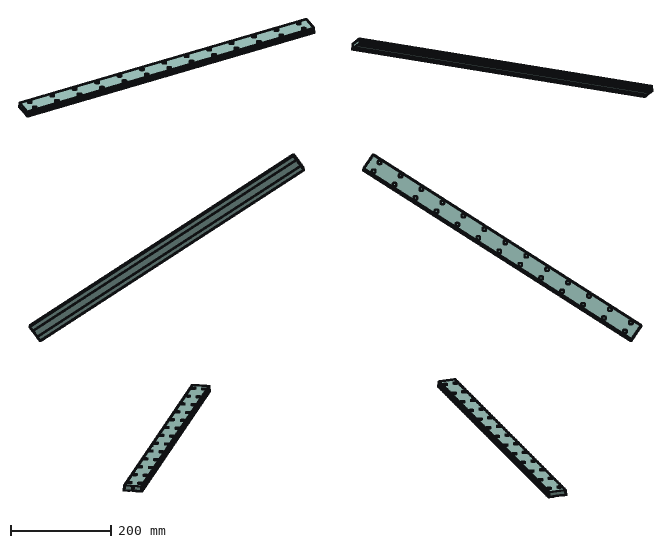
import cadquery as cq

length = 640.0
width = 37.0
height = 11.0

upper_flange_inset = 0.5
top_bevel = 0.95

groove_depth = 2.0
groove_mouth_bottom = 2.5
groove_floor_bottom = 4.8
groove_floor_top = 6.5
groove_mouth_top = 8.0

relief_width = 15.5
relief_depth = 0.5

recess_diameter = 8.0
recess_depth = 0.3
recess_row_spacing = 22.0
recesses_per_row = 13
end_margin = 20.0
recess_pitch = (length - 2 * end_margin) / (recesses_per_row - 1)

end_hole_diameter = 3.0
end_hole_depth = 8.0
end_hole_z = 6.0


def rail_body():
    """Bar with the grooved and relieved cross-section, symmetric about X = 0."""
    lower_x = width / 2
    upper_x = lower_x - upper_flange_inset
    floor_x = lower_x - groove_depth
    right_half = [
        (relief_width / 2, relief_depth),
        (relief_width / 2, 0),
        (lower_x, 0),
        (lower_x, groove_mouth_bottom),
        (floor_x, groove_floor_bottom),
        (floor_x, groove_floor_top),
        (upper_x, groove_mouth_top),
        (upper_x, height - top_bevel),
        (upper_x - top_bevel, height),
    ]
    left_half = [(-x, z) for x, z in reversed(right_half)]
    return cq.Workplane("XZ").polyline(right_half + left_half).close().extrude(length / 2, both=True)


def mounting_recesses():
    """Grid of round pockets sunk from the top face."""
    return (
        cq.Workplane("XY", origin=(0, 0, height - recess_depth))
        .rarray(recess_row_spacing, recess_pitch, 2, recesses_per_row)
        .circle(recess_diameter / 2)
        .extrude(recess_depth)
    )


def end_hole():
    """Blind hole entering from the front end along +Y."""
    return (
        cq.Workplane("XZ", origin=(0, -length / 2, end_hole_z))
        .circle(end_hole_diameter / 2)
        .extrude(-end_hole_depth)
    )


result = rail_body().cut(mounting_recesses()).cut(end_hole())